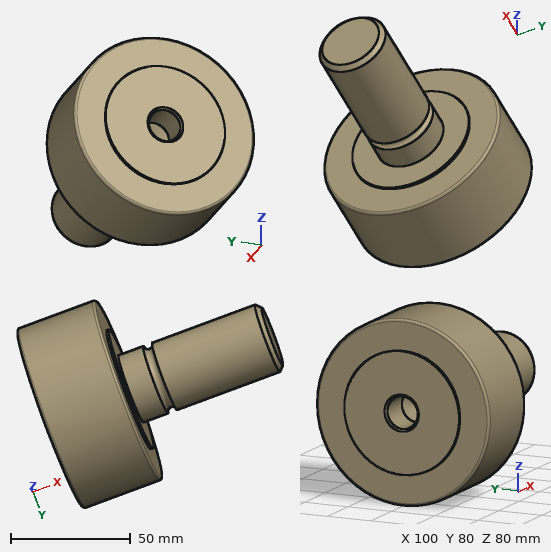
import cadquery as cq
import math


overall_length = 100.0
ring_diameter = 80.0
ring_width = 35.0
ring_edge_radius = 1.1
side_diameter = 53.0
side_thickness = 1.0
shank_diameter = 30.0
shank_end_chamfer = 2.1
groove_position = 50.0
groove_radius = 2.0
socket_diameter = 14.0
socket_mouth_chamfer = 0.9
socket_depth = 15.0
socket_point_angle = 120.0

ring_start = side_thickness
washer_start = ring_start + ring_width
socket_radius = socket_diameter / 2
socket_point_length = socket_radius / math.tan(math.radians(socket_point_angle / 2))


def disc(start, diameter, length):
    """Solid cylinder along +X whose first face lies at X = start."""
    return cq.Workplane("YZ", origin=(start, 0, 0)).circle(diameter / 2).extrude(length)


def groove_cutter():
    """Torus centred on the shank surface, cutting a half-round groove around it."""
    center = cq.Vector(groove_position, 0, 0)
    axis = cq.Vector(1, 0, 0)
    return cq.Workplane(cq.Solid.makeTorus(shank_diameter / 2, groove_radius, center, axis))


def socket_cutter():
    """Blind hole with a chamfered mouth and a conical bottom."""
    mouth_radius = socket_radius + socket_mouth_chamfer
    return (
        cq.Workplane("XY")
        .lineTo(0, mouth_radius)
        .lineTo(socket_mouth_chamfer, socket_radius)
        .lineTo(socket_depth, socket_radius)
        .lineTo(socket_depth + socket_point_length, 0)
        .close()
        .revolve(360, (0, 0, 0), (1, 0, 0))
    )


def make_stud():
    """Headed stud with a chamfered end, a round groove and a socket in the head."""
    head = disc(0, side_diameter, side_thickness)
    shank = disc(0, shank_diameter, overall_length).faces(">X").chamfer(shank_end_chamfer)
    return head.union(shank).cut(groove_cutter()).cut(socket_cutter())


def make_ring():
    """Roller ring with both outer edges rounded, bored to fit the shank."""
    blank = disc(ring_start, ring_diameter, ring_width)
    rounded = blank.faces("<X or >X").edges().fillet(ring_edge_radius)
    return rounded.cut(disc(ring_start, shank_diameter, ring_width))


def make_washer():
    """Side washer against the back face of the ring, bored to fit the shank."""
    blank = disc(washer_start, side_diameter, side_thickness)
    return blank.cut(disc(washer_start, shank_diameter, side_thickness))


stud = make_stud()
ring = make_ring()
washer = make_washer()

result = cq.Compound.makeCompound([stud.val(), ring.val(), washer.val()])